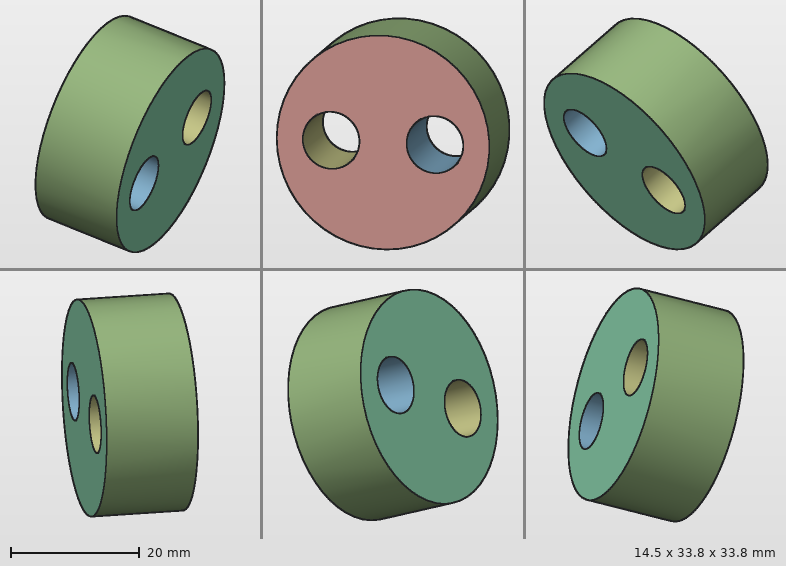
import cadquery as cq

disc_diameter = 33.8
disc_thickness = 14.5
hole_diameter = 9.0
hole_spacing = 16.5

disc = cq.Workplane("YZ").circle(disc_diameter / 2).extrude(disc_thickness)

hole_centres = [(-hole_spacing / 2, 0), (hole_spacing / 2, 0)]
holes = (
    cq.Workplane("YZ")
    .pushPoints(hole_centres)
    .circle(hole_diameter / 2)
    .extrude(disc_thickness)
)

result = disc.cut(holes)